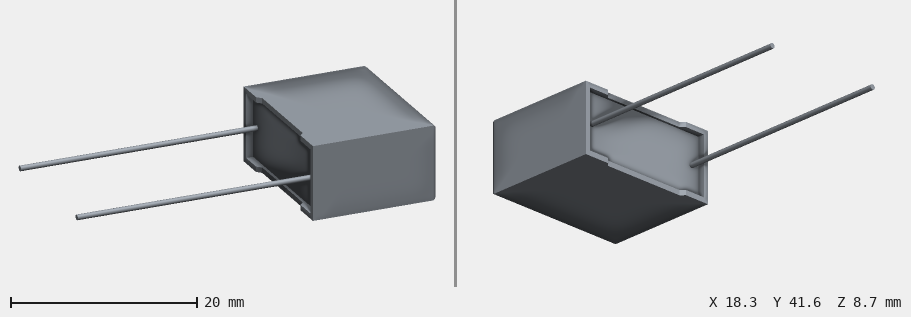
import cadquery as cq

overall_length = 41.6
case_width = 18.3
case_height = 8.7
case_depth = 14.55

wall = 0.62
back_edge_radius = 0.5
notch_depth = 0.5
notch_corner_offset = 3.3
notch_floor_width = case_width - 2 * (notch_corner_offset + notch_depth)

fill_recess = 0.85
lead_diameter = 0.62
lead_spacing = 15.0

rim_y = overall_length - case_depth
fill_face_y = rim_y + fill_recess
cavity_back_y = overall_length - wall
cavity_width = case_width - 2 * wall
cavity_height = case_height - 2 * wall


def block(width, height, start_y, end_y):
    """Box centred in X and Z, spanning start_y to end_y."""
    return cq.Workplane("XY").box(width, end_y - start_y, height).translate((0, (start_y + end_y) / 2, 0))


def make_rim_notch():
    """Cutter for the shallow trapezoid across the upper and lower rims."""
    half_floor = notch_floor_width / 2
    half_mouth = half_floor + notch_depth
    floor_y = rim_y + notch_depth
    return (
        cq.Workplane("XY")
        .polyline([(-half_mouth, rim_y), (half_mouth, rim_y), (half_floor, floor_y), (-half_floor, floor_y)])
        .close()
        .extrude(case_height / 2, both=True)
    )


def make_case():
    """Open box with rounded back edges and a notched rim."""
    shell = block(case_width, case_height, rim_y, overall_length)
    shell = shell.faces(">Y").edges().fillet(back_edge_radius)
    cavity = block(cavity_width, cavity_height, rim_y, cavity_back_y)
    return shell.cut(cavity).cut(make_rim_notch())


def make_fill():
    """Potting block that fills the cavity behind the recess."""
    return block(cavity_width, cavity_height, fill_face_y, cavity_back_y)


def make_lead(x):
    """Straight round wire from the fill face to Y = 0."""
    wire_start = cq.Workplane("XZ", origin=(x, fill_face_y, 0))
    return wire_start.circle(lead_diameter / 2).extrude(fill_face_y)


case = make_case()
fill = make_fill()
leads = []
for side in (-1, 1):
    leads.append(make_lead(side * lead_spacing / 2).val())

result = cq.Compound.makeCompound([case.val(), fill.val(), *leads])